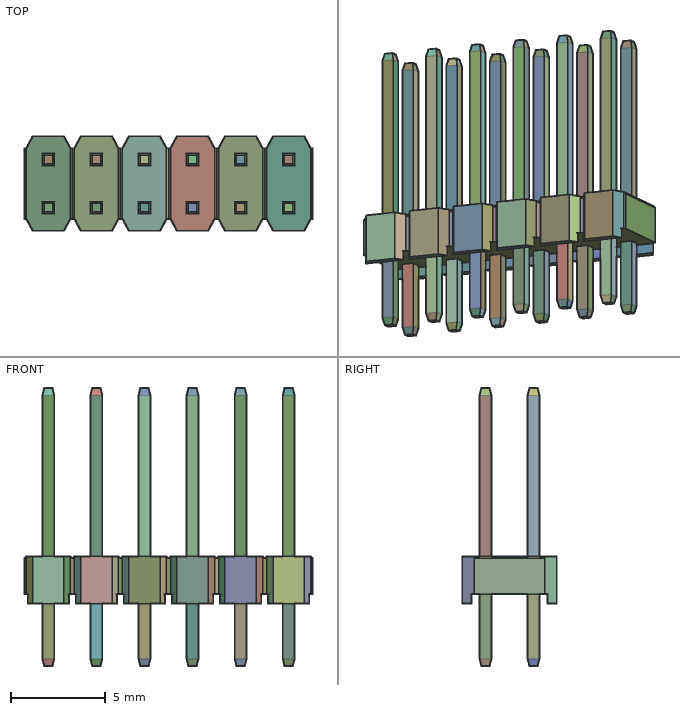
import cadquery as cq

columns = 6
length = 15.24
pitch = length / columns
width = 5.0
body_height = 2.5
bridge_width = 3.75
groove_depth = 0.1
corner_inset = 0.34
corner_run = (width - bridge_width) / 2
channel_width = 4.0
channel_depth = 0.5

pin_size = 0.64
tip_size = 0.44
tip_height = 0.4
pin_above = 8.9
pin_below = 3.3
pin_height = pin_below + body_height + pin_above

column_places = [(i - (columns - 1) / 2) * pitch for i in range(columns)]
row_places = [-pitch / 2, pitch / 2]


def make_cell(x):
    """Eight-sided block around one pair of pins, with its top bevelled bridge."""
    half_x = pitch / 2 - groove_depth
    half_y = width / 2
    flat_x = half_x - corner_inset
    flat_y = half_y - corner_run
    block = (
        cq.Workplane("XY")
        .polyline([
            (flat_x, half_y), (half_x, flat_y), (half_x, -flat_y), (flat_x, -half_y),
            (-flat_x, -half_y), (-half_x, -flat_y), (-half_x, flat_y), (-flat_x, half_y),
        ])
        .close()
        .extrude(body_height)
    )
    bridge = (
        cq.Workplane("XY")
        .box(pitch, bridge_width, body_height, centered=(True, True, False))
        .edges(">Z and |Y")
        .chamfer(groove_depth)
    )
    return block.union(bridge).translate((x, 0, 0))


def make_tip():
    """Tapered pin end, wide face at Z = 0 and narrow face above it."""
    return (
        cq.Workplane("XY")
        .rect(pin_size, pin_size)
        .workplane(offset=tip_height)
        .rect(tip_size, tip_size)
        .loft(combine=True)
    )


def make_pin():
    """Square pin with a tapered tip at both ends, its lower end at Z = 0."""
    shank_height = pin_height - 2 * tip_height
    shank = (
        cq.Workplane("XY", origin=(0, 0, tip_height))
        .rect(pin_size, pin_size)
        .extrude(shank_height)
    )
    top_tip = make_tip().translate((0, 0, tip_height + shank_height))
    bottom_tip = make_tip().mirror("XY").translate((0, 0, tip_height))
    return shank.union(top_tip).union(bottom_tip)


result = make_cell(column_places[0])
for column_x in column_places[1:]:
    result = result.union(make_cell(column_x))

channel = cq.Workplane("XY").box(length, channel_width, channel_depth, centered=(True, True, False))
result = result.cut(channel)

pin = make_pin().translate((0, 0, -pin_below))
for column_x in column_places:
    for row_y in row_places:
        result = result.union(pin.translate((column_x, row_y, 0)))